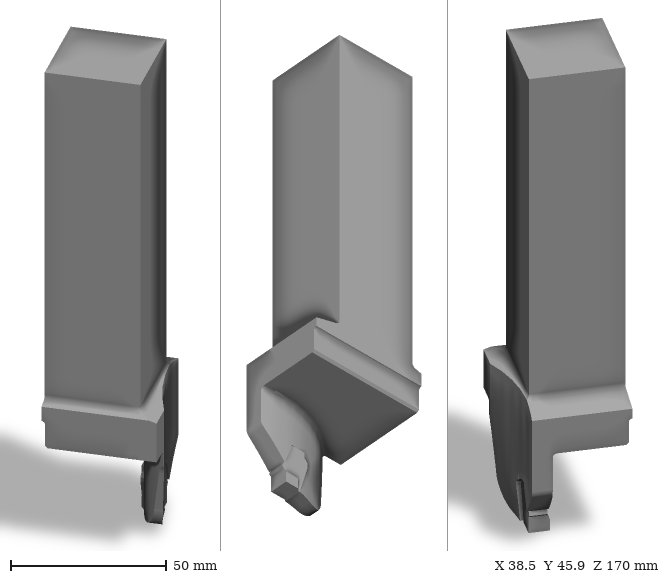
import cadquery as cq
import math

total_height = 170.0
head_width = 38.5
head_depth = 45.9

shank_side = 32.0
shank_front = 3.9
shank_rear = shank_front + shank_side
shank_fillet = 1.7

shoulder_height = 50.5
shoulder_slope = math.tan(math.radians(15))
head_bottom = 34.5
relief_top = 44.2
relief_depth = 1.2
lower_bevel = 0.8

crest_y = 37.4
inner_crest_x = 25.5
inner_radius = 40.0
outer_crest_x = 32.8
outer_radius = 73.1
blade_root_fillet = 1.4
blade_front = 7.0
blade_bottom = 0.7

insert_face_x = 26.0
insert_back_x = 32.1
tip_face_x = 25.0
tip_height = 4.0
tip_front = 31.1
tip_root_front = 30.0
tip_root_height = 4.0
tip_rear = 36.2
tip_rear_height = 6.0
insert_outline = [
    (29.4, 0), (tip_rear, 0), (tip_rear, tip_rear_height), (37.0, 6.8), (33.2, 16.2),
    (33.2, 17.3), (27.2, 17.3), (27.2, 15.1), (25.8, 13.6), (25.8, 12.0),
]


def side_prism(outline, start_x, end_x):
    """Extrude a closed (Y, Z) outline between two X positions."""
    return cq.Workplane("YZ", origin=(start_x, 0, 0)).polyline(outline).close().extrude(end_x - start_x)


def round_column(crest_x, radius):
    """Upright cylinder whose lowest-X line passes through the crest."""
    return cq.Workplane("XY").center(crest_x + radius, crest_y).circle(radius).extrude(total_height)


def make_head():
    front_height = shoulder_height - shank_front * shoulder_slope
    rear_height = shoulder_height - (head_depth - shank_rear) * shoulder_slope
    side_outline = [
        (0, head_bottom), (head_depth, head_bottom), (head_depth, rear_height),
        (shank_rear, shoulder_height), (shank_front, shoulder_height), (0, front_height),
    ]
    head = side_prism(side_outline, 0, head_width)

    right_height = shoulder_height - (head_width - shank_side) * shoulder_slope
    arc_offset = relief_depth * math.sin(math.radians(45))
    arc_middle = (arc_offset, relief_top - relief_depth + arc_offset)
    envelope = (
        cq.Workplane("XZ")
        .moveTo(relief_depth + lower_bevel, head_bottom)
        .lineTo(head_width, head_bottom)
        .lineTo(head_width, right_height)
        .lineTo(shank_side, shoulder_height)
        .lineTo(0, shoulder_height)
        .lineTo(0, relief_top)
        .threePointArc(arc_middle, (relief_depth, relief_top - relief_depth))
        .lineTo(relief_depth, head_bottom + lower_bevel)
        .close()
        .extrude(-head_depth)
    )
    return head.intersect(envelope)


def make_shank():
    return cq.Workplane("XY").box(
        shank_side, shank_side, total_height - shoulder_height, centered=False
    ).translate((0, shank_front, shoulder_height))


def make_blade():
    blank = (
        cq.Workplane("YZ")
        .moveTo(head_depth, head_bottom + blade_root_fillet)
        .lineTo(head_depth, 20.9)
        .threePointArc((45.5, 19.5), (44.9, 18.5))
        .lineTo(37.0, 9.0)
        .lineTo(29.4, blade_bottom)
        .lineTo(22.6, blade_bottom)
        .threePointArc((15.5, 3.7), (12.4, 10.4))
        .lineTo(9.7, 25.3)
        .threePointArc((9.2, 27.0), (8.3, 28.5))
        .lineTo(blade_front, 30.0)
        .lineTo(blade_front, head_bottom + blade_root_fillet)
        .close()
        .extrude(head_width)
    )
    return blank.intersect(round_column(inner_crest_x, inner_radius))


def make_holder():
    body = make_head().union(make_shank())

    shank_foot = cq.selectors.BoxSelector(
        (-1.7, shank_front - 0.2, shoulder_height - 0.2),
        (shank_side + 0.2, shank_rear + 0.2, shoulder_height + 0.2),
    )
    body = body.edges(shank_foot).fillet(shank_fillet)

    body = body.union(make_blade())
    blade_root = cq.selectors.BoxSelector(
        (inner_crest_x - 1.7, blade_front, head_bottom - 0.2),
        (outer_crest_x, head_depth - 1.7, head_bottom + 0.2),
    )
    body = body.edges(blade_root).edges("%CIRCLE").fillet(blade_root_fillet)

    body = body.cut(round_column(outer_crest_x, outer_radius))

    return body.cut(side_prism(insert_outline, 0, head_width))


def make_insert():
    insert = side_prism(insert_outline, insert_face_x, insert_back_x)

    root_outline = [
        (tip_root_front, 0), (tip_rear, 0), (tip_rear, tip_rear_height), (tip_root_front, tip_root_height),
    ]
    slope_outline = [
        (insert_face_x, 0), (tip_face_x, 0), (tip_face_x, tip_height), (insert_face_x, tip_rear_height),
    ]
    ramp_outline = [
        (insert_face_x, tip_root_front), (tip_face_x, tip_front),
        (tip_face_x, tip_rear), (insert_face_x, tip_rear),
    ]
    slope = cq.Workplane("XZ").polyline(slope_outline).close().extrude(-head_depth)
    ramp = cq.Workplane("XY").polyline(ramp_outline).close().extrude(tip_rear_height)
    tip = side_prism(root_outline, tip_face_x, insert_face_x).intersect(slope).intersect(ramp)
    return insert.union(tip)


holder = make_holder()
insert = make_insert()
result = cq.Compound.makeCompound([holder.solids().val(), insert.solids().val()])